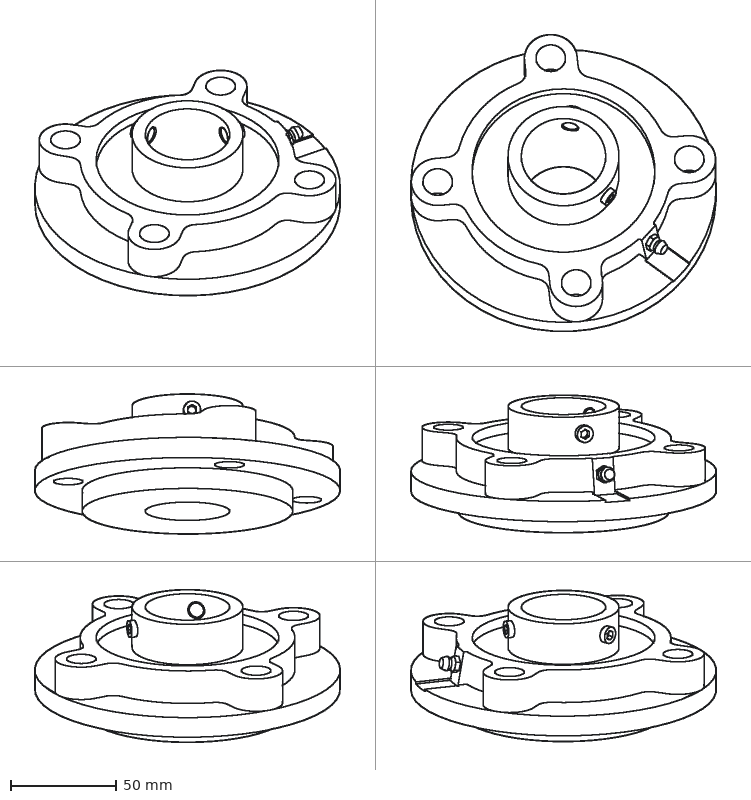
import cadquery as cq
import math


flange_diameter = 145.0
flange_thickness = 9.8
spigot_diameter = 100.0
spigot_height = 10.0

housing_top = 26.0
housing_height = housing_top - flange_thickness
body_radius = 51.0
bolt_circle_radius = 60.0
lobe_angles = (45.0, 135.0, 225.0, 315.0)
lobe_radius = flange_diameter / 2 - bolt_circle_radius
lobe_blend_radius = 6.5
bolt_hole_diameter = 14.0

seat_diameter = 86.7
seat_depth = 5.0
bore_diameter = 40.0
ring_diameter = 52.7
ring_top = 41.2
seat_floor = housing_top - seat_depth

screw_diameter = 8.0
screw_angles = (90.0, 210.0)
screw_below_ring_top = 8.1
screw_height = ring_top - screw_below_ring_top
screw_outer_radius = 29.0
screw_tip_diameter = 7.0
screw_tip_chamfer = (screw_diameter - screw_tip_diameter) / 2
screw_tip_radius = 20.2
socket_across_flats = 4.0
socket_depth = 2.5
socket_cone_angle = 120.0

boss_width = 10.5
boss_slope = 10.0
boss_top_reach = 52.2
boss_blend_radius = 0.8
boss_base_reach = boss_top_reach + housing_height * math.tan(math.radians(boss_slope))

groove_width = 12.2
groove_depth = 1.0

nipple_height = 18.4
nipple_hex_across_flats = 7.0
nipple_hex_length = 2.3
nipple_collar_diameter = 7.0
nipple_neck_diameter = 5.4
nipple_neck_position = 3.9
nipple_collar_position = 5.5
nipple_tip_diameter = 5.0
nipple_length = 8.2
nipple_root_depth = 2.0


def hex_circumdiameter(across_flats):
    return across_flats / math.cos(math.pi / 6)


def disc(diameter, bottom, height):
    return cq.Workplane("XY").workplane(offset=bottom).circle(diameter / 2).extrude(height)


def make_lobe():
    """Bolt lobe along +X, with concave blends running into the round body."""
    blend_y = lobe_radius + lobe_blend_radius
    blend_distance = body_radius + lobe_blend_radius
    blend_x = math.sqrt(blend_distance**2 - blend_y**2)
    body_x = blend_x * body_radius / blend_distance
    body_y = blend_y * body_radius / blend_distance
    mid_angle = (math.atan2(blend_y, blend_x) + math.pi / 2) / 2
    mid_x = blend_x - lobe_blend_radius * math.cos(mid_angle)
    mid_y = blend_y - lobe_blend_radius * math.sin(mid_angle)
    return (
        cq.Workplane("XY")
        .workplane(offset=flange_thickness)
        .moveTo(0, 0)
        .lineTo(body_x, body_y)
        .threePointArc((mid_x, mid_y), (blend_x, lobe_radius))
        .lineTo(bolt_circle_radius, lobe_radius)
        .threePointArc((bolt_circle_radius + lobe_radius, 0), (bolt_circle_radius, -lobe_radius))
        .lineTo(blend_x, -lobe_radius)
        .threePointArc((mid_x, -mid_y), (body_x, -body_y))
        .close()
        .extrude(housing_height)
    )


def make_boss():
    """Nipple boss on +Y, its outer face leaning back towards the top."""
    return (
        cq.Workplane("YZ")
        .moveTo(0, flange_thickness)
        .lineTo(boss_base_reach, flange_thickness)
        .lineTo(boss_top_reach, housing_top)
        .lineTo(0, housing_top)
        .close()
        .extrude(boss_width / 2, both=True)
    )


def blend_boss(housing):
    """Round the two upright inner corners between boss and body."""
    corner_y = math.sqrt(body_radius**2 - (boss_width / 2) ** 2)
    corner_z = flange_thickness + housing_height / 2
    for side in (-1, 1):
        corner = (side * boss_width / 2, corner_y, corner_z)
        housing = housing.edges(cq.selectors.NearestToPointSelector(corner)).fillet(boss_blend_radius)
    return housing


def make_housing():
    housing = disc(2 * body_radius, flange_thickness, housing_height)
    for angle in lobe_angles:
        housing = housing.union(make_lobe().rotate((0, 0, 0), (0, 0, 1), angle))
    return blend_boss(housing.union(make_boss()))


def make_groove():
    """Flat-bottomed groove from the foot of the boss out past the rim."""
    length = flange_diameter / 2
    return (
        cq.Workplane("XY")
        .workplane(offset=flange_thickness - groove_depth)
        .center(0, boss_base_reach + length / 2)
        .rect(groove_width, length)
        .extrude(groove_depth)
    )


def make_screw_hole(angle):
    return (
        cq.Workplane("XZ", origin=(0, 0, screw_height))
        .circle(screw_diameter / 2)
        .extrude(-ring_diameter / 2)
        .rotate((0, 0, 0), (0, 0, 1), angle - 90)
    )


def make_set_screw(angle):
    """Socket set screw lying along +Y, then turned to its angle about Z."""
    screw = (
        cq.Workplane("XZ", origin=(0, screw_tip_radius, screw_height))
        .circle(screw_diameter / 2)
        .extrude(screw_tip_radius - screw_outer_radius)
        .faces("<Y")
        .chamfer(screw_tip_chamfer)
    )
    socket = (
        cq.Workplane("XZ", origin=(0, screw_outer_radius, screw_height))
        .transformed(rotate=(0, 0, 90))
        .polygon(6, hex_circumdiameter(socket_across_flats))
        .extrude(socket_depth)
    )
    cone_radius = socket_across_flats / 2
    cone_depth = cone_radius / math.tan(math.radians(socket_cone_angle / 2))
    cone_base = cq.Vector(0, screw_outer_radius - socket_depth, screw_height)
    cone = cq.Solid.makeCone(cone_radius, 0, cone_depth, cone_base, cq.Vector(0, -1, 0))
    return screw.cut(socket).cut(cq.Workplane(cone)).rotate((0, 0, 0), (0, 0, 1), angle - 90)


def make_nipple():
    """Grease nipple built upright, then laid along the normal of the boss face."""
    stem = (
        cq.Workplane("XZ")
        .moveTo(0, -nipple_root_depth)
        .lineTo(nipple_collar_diameter / 2, -nipple_root_depth)
        .lineTo(nipple_collar_diameter / 2, nipple_hex_length)
        .lineTo(nipple_neck_diameter / 2, nipple_neck_position)
        .lineTo(nipple_collar_diameter / 2, nipple_collar_position)
        .lineTo(nipple_tip_diameter / 2, nipple_length)
        .lineTo(0, nipple_length)
        .close()
        .revolve(360, (0, 0), (0, 1))
    )
    hexagon = (
        cq.Workplane("XY")
        .transformed(rotate=(0, 0, 90))
        .polygon(6, hex_circumdiameter(nipple_hex_across_flats))
        .extrude(nipple_hex_length)
    )
    drop = housing_top - nipple_height
    reach = boss_top_reach + drop * math.tan(math.radians(boss_slope))
    return (
        stem.union(hexagon)
        .rotate((0, 0, 0), (1, 0, 0), boss_slope - 90)
        .translate((0, reach, nipple_height))
    )


flange = disc(flange_diameter, 0, flange_thickness).cut(make_groove())
spigot = disc(spigot_diameter, -spigot_height, spigot_height)
body = flange.union(spigot).union(make_housing())
body = body.cut(disc(seat_diameter, seat_floor, seat_depth))
body = body.union(disc(ring_diameter, seat_floor, ring_top - seat_floor))
body = body.cut(disc(bore_diameter, -spigot_height, spigot_height + ring_top))

bolt_hole = disc(bolt_hole_diameter, 0, housing_top).translate((bolt_circle_radius, 0, 0))
for angle in lobe_angles:
    body = body.cut(bolt_hole.rotate((0, 0, 0), (0, 0, 1), angle))

for angle in screw_angles:
    body = body.cut(make_screw_hole(angle)).union(make_set_screw(angle))

result = body.union(make_nipple())